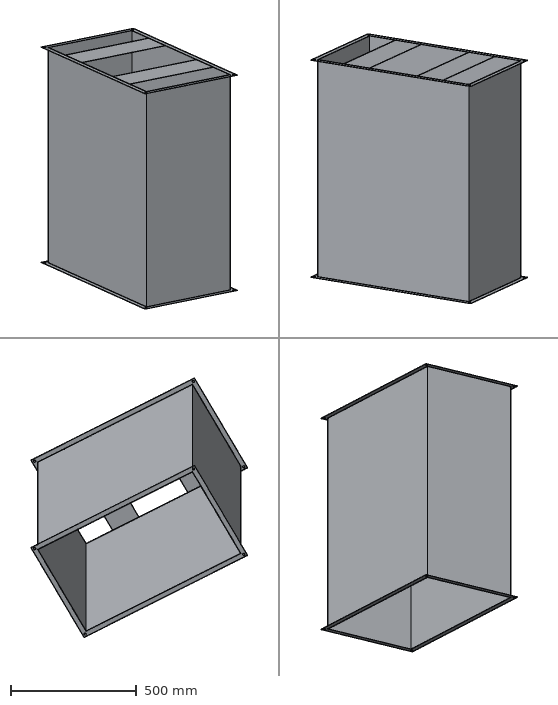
import cadquery as cq

flange_length = 742.0
flange_width = 442.0
height = 900.0

sheet = 1.0
flange_rim = 21.0

hole_diameter = 8.0
hole_inset = 11.0

strip_length = 120.0
side_gap = 120.0

inner_length = flange_length - 2 * flange_rim
inner_width = flange_width - 2 * flange_rim
duct_length = inner_length + 2 * sheet
duct_width = inner_width + 2 * sheet
strip_offset = inner_length / 2 - side_gap - strip_length / 2


def make_duct():
    """Open rectangular sheet-metal tube standing between the two flanges."""
    return (
        cq.Workplane("XY", origin=(0, 0, sheet))
        .rect(duct_length, duct_width)
        .rect(inner_length, inner_width)
        .extrude(height - 2 * sheet)
    )


def make_flange(base_z):
    """Flat frame covering one end of the duct wall, with a bolt hole in each corner."""
    frame = (
        cq.Workplane("XY", origin=(0, 0, base_z))
        .rect(flange_length, flange_width)
        .rect(inner_length, inner_width)
        .extrude(sheet)
    )
    return (
        frame.faces(">Z")
        .workplane(origin=(0, 0, base_z + sheet))
        .rect(flange_length - 2 * hole_inset, flange_width - 2 * hole_inset, forConstruction=True)
        .vertices()
        .hole(hole_diameter)
    )


def make_strip(center_x):
    """Flat strip spanning the opening in Y, flush with the top of the upper flange."""
    return (
        cq.Workplane("XY", origin=(center_x, 0, height - sheet))
        .rect(strip_length, inner_width)
        .extrude(sheet)
    )


duct = make_duct()
flanges = [make_flange(base_z) for base_z in (0, height - sheet)]
strips = [make_strip(side * strip_offset) for side in (-1, 1)]

result = cq.Compound.makeCompound(
    [
        duct.val(),
        *[flange.val() for flange in flanges],
        *[strip.val() for strip in strips],
    ]
)